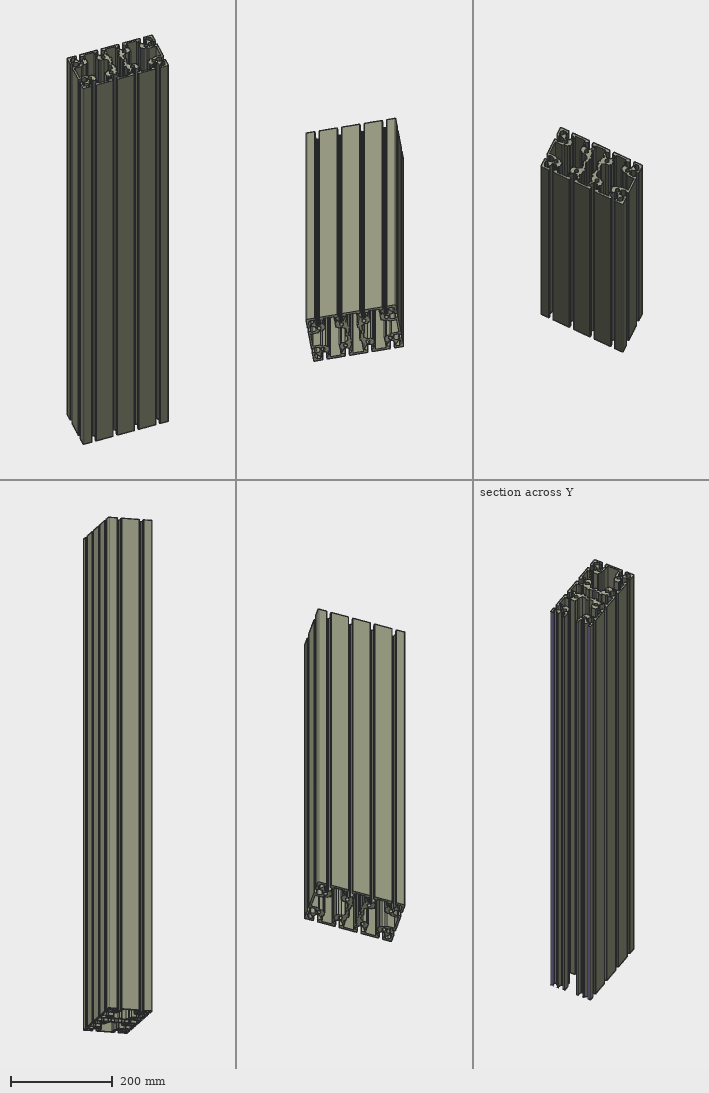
import cadquery as cq

WIDTH = 90.0
DEPTH = 180.0
LENGTH = 1000.0
CORNER_RADIUS = 2.0

PITCH = 45.0
AXIS = PITCH / 2
OUTER_AXIS = AXIS + PITCH
BORE_DIAMETER = 7.3

MOUTH_HALF = 4.0
MOUTH_CHAMFER = 1.0
LIP = 5.0
LIP_ROOT = 7.0
SLOT_WIDE = 9.5
SLOT_NARROW = 6.0
SLOT_SHOULDER = 9.0
SLOT_DEPTH = 16.0
FLOOR_HALF = 4.0
GROOVE_HALF = 2.0
GROOVE_DEPTH = 1.0

WALL = 4.0
FLANK = 12.0

MAIN_NOTCH_X = 31.0
MIDDLE_NOTCH_X = 28.0
NOTCH_HALF = 2.5
NOTCH_FLOOR_HALF = 1.5
NOTCH_DEPTH = 3.0

NECK_HALF = 13.0
COLUMN_HALF = 16.0
FOOT_HALF = 18.5
FOOT_SIDE = 2.5
FOOT_HEIGHT = 5.5

WEB_TOP = 16.0
WEB_TOP_KNEE = 12.0
CROWN_TOP = 19.0
CROWN_TOP_HALF = 2.0
CROWN_FOOT_HALF = 4.0
CROWN_UNDER = 13.0
WEB_UNDER = 10.0
RIB_UNDER = 7.5
RIB_INNER = 11.0
RIB_OUTER = 17.0

CORNER_WALL = 4.0
CORNER_FAR = 14.5
CORNER_CUT = 8.0


def prism(points):
    """Full-length prism over a closed outline."""
    return cq.Workplane("XY").polyline(points).close().extrude(LENGTH)


def mirrored_x(points):
    """Right-hand half outline followed by its mirror image across X = 0."""
    return points + [(-x, y) for x, y in reversed(points)]


def mirrored_y(points):
    """Upper half outline followed by its mirror image across Y = 0."""
    return points + [(x, -y) for x, y in reversed(points)]


def t_slot(left_half, right_half):
    """T-slot void along Z, its mouth on Y = 0 and its floor toward -Y."""
    def side(direction, half):
        return [
            (direction * (MOUTH_HALF + MOUTH_CHAMFER), 0),
            (direction * MOUTH_HALF, -MOUTH_CHAMFER),
            (direction * MOUTH_HALF, -LIP),
            (direction * half, -LIP_ROOT),
            (direction * half, -SLOT_SHOULDER),
            (direction * FLOOR_HALF, -SLOT_DEPTH),
            (direction * GROOVE_HALF, -SLOT_DEPTH),
        ]
    groove_tip = (0, -SLOT_DEPTH - GROOVE_DEPTH)
    return prism(side(1, right_half) + [groove_tip] + side(-1, left_half)[::-1])


def notch(center_x, edge_y, direction):
    """Relief points from +X to -X, cut from edge_y toward the given Y direction."""
    floor_y = edge_y + direction * NOTCH_DEPTH
    return [
        (center_x + NOTCH_HALF, edge_y),
        (center_x + NOTCH_FLOOR_HALF, floor_y),
        (center_x - NOTCH_FLOOR_HALF, floor_y),
        (center_x - NOTCH_HALF, edge_y),
    ]


def main_chamber():
    """Large chamber between the end wall and the cross web on the +Y half."""
    inner_x = WIDTH / 2 - WALL
    upper = OUTER_AXIS - FLANK
    lower = AXIS + FLANK
    half = [
        (NECK_HALF, DEPTH / 2 - WALL),
        (NECK_HALF, OUTER_AXIS + BORE_DIAMETER / 2),
        (COLUMN_HALF, OUTER_AXIS),
        (COLUMN_HALF, upper + FOOT_HEIGHT),
        (FOOT_HALF, upper + FOOT_SIDE),
        (FOOT_HALF, upper),
        *reversed(notch(MAIN_NOTCH_X, upper, 1)),
        (inner_x, upper),
        (inner_x, lower),
        *notch(MAIN_NOTCH_X, lower, -1),
        (FOOT_HALF, lower),
        (FOOT_HALF, lower - FOOT_SIDE),
        (COLUMN_HALF, lower - FOOT_HEIGHT),
        (COLUMN_HALF, AXIS),
        (WEB_TOP_KNEE, WEB_TOP),
        (CROWN_FOOT_HALF, WEB_TOP),
        (CROWN_TOP_HALF, CROWN_TOP),
    ]
    return prism(mirrored_x(half))


def middle_chamber():
    """Shallow chamber between the two cross webs."""
    inner_x = WIDTH / 2 - WALL
    top = AXIS - FLANK
    quarter = [
        (inner_x, top),
        *notch(MIDDLE_NOTCH_X, top, 1),
        (RIB_OUTER, top),
        (RIB_OUTER, RIB_UNDER),
        (RIB_INNER, RIB_UNDER),
        (RIB_INNER, WEB_UNDER),
        (CROWN_FOOT_HALF, WEB_UNDER),
        (CROWN_TOP_HALF, CROWN_UNDER),
    ]
    return prism(mirrored_y(mirrored_x(quarter)))


def corner_chamber():
    """Closed void in the +X +Y corner, shaped as a square with two clipped corners."""
    void = prism([
        (-CORNER_WALL, -CORNER_CUT),
        (-CORNER_CUT, -CORNER_WALL),
        (-CORNER_FAR, -CORNER_WALL),
        (-CORNER_FAR, -CORNER_CUT),
        (-CORNER_CUT, -CORNER_FAR),
        (-CORNER_WALL, -CORNER_FAR),
    ])
    return void.translate((WIDTH / 2, DEPTH / 2, 0))


def cut_both_ends(solid, void):
    """Cut a void and its mirror image across Y = 0."""
    return solid.cut(void).cut(void.mirror("XZ"))


def cut_all_quarters(solid, void):
    """Cut a void and its mirror images across X = 0 and Y = 0."""
    return cut_both_ends(cut_both_ends(solid, void), void.mirror("YZ"))


result = cq.Workplane("XY").box(WIDTH, DEPTH, LENGTH, centered=(True, True, False))
result = result.edges("|Z").fillet(CORNER_RADIUS)

result = cut_both_ends(result, main_chamber())
result = result.cut(middle_chamber())
result = cut_all_quarters(result, corner_chamber())

end_slot = t_slot(SLOT_NARROW, SLOT_NARROW).translate((AXIS, DEPTH / 2, 0))
result = cut_all_quarters(result, end_slot)
for y, corner_half in ((AXIS, SLOT_WIDE), (OUTER_AXIS, SLOT_NARROW)):
    side_slot = t_slot(corner_half, SLOT_WIDE).rotate((0, 0, 0), (0, 0, 1), -90)
    result = cut_all_quarters(result, side_slot.translate((WIDTH / 2, y, 0)))

for y in (AXIS, OUTER_AXIS):
    bore = cq.Workplane("XY").center(AXIS, y).circle(BORE_DIAMETER / 2).extrude(LENGTH)
    result = cut_all_quarters(result, bore)